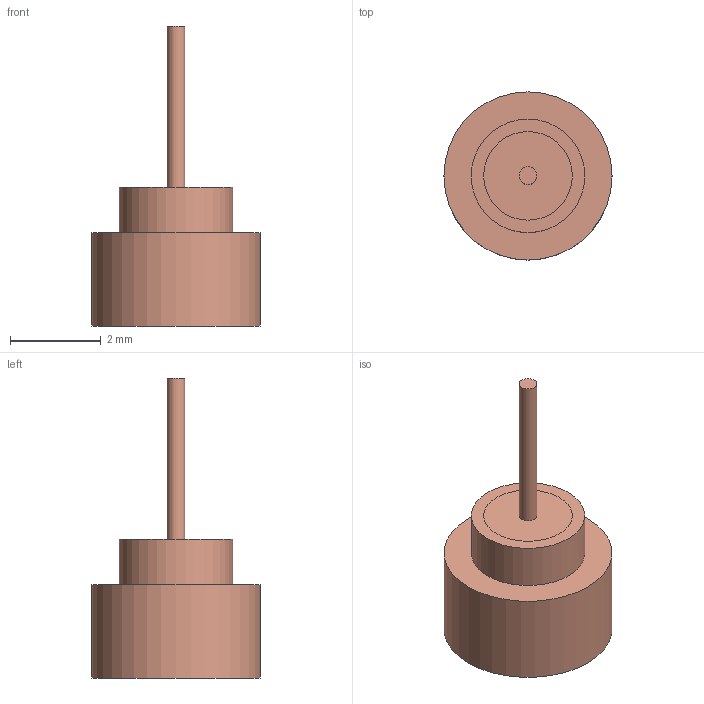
import cadquery as cq

total_height = 6.6

base_diameter = 3.7
base_height = 2.05

collar_diameter = 2.5
collar_height = 1.0

insert_diameter = 1.95

pin_diameter = 0.39

base_radius = base_diameter / 2
collar_radius = collar_diameter / 2
insert_radius = insert_diameter / 2
pin_radius = pin_diameter / 2
collar_top = base_height + collar_height


def stepped_body():
    """Revolve the half section about Z, keeping the flush insert as its own face."""
    half_section = (
        cq.Workplane("XZ")
        .moveTo(0, 0)
        .lineTo(-base_radius, 0)
        .lineTo(-base_radius, base_height)
        .lineTo(-collar_radius, base_height)
        .lineTo(-collar_radius, collar_top)
        .lineTo(-insert_radius, collar_top)
        .lineTo(-pin_radius, collar_top)
        .lineTo(-pin_radius, total_height)
        .lineTo(0, total_height)
        .close()
    )
    return half_section.revolve(360, (0, 0, 0), (0, 1, 0), clean=False)


result = stepped_body()